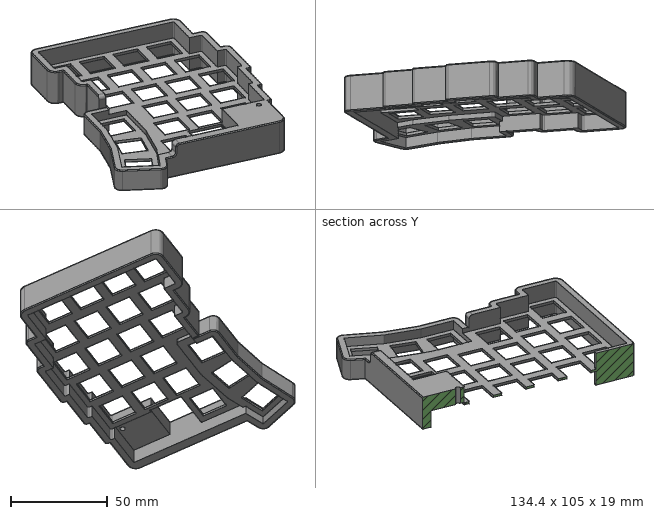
import cadquery as cq
import math

case_height = 19.0
thumb_rim_height = 12.1
plate_top = 9.5
thumb_plate_top = 7.0
plate_thickness = 1.5

wall = 3.9
edge_chamfer = 0.5
step_radius = 2.0
corner_radius = 4.6
inner_radius = 0.7

key_pitch = 19.1
key_cutout = 14.0
clearance = 0.4
room_half = key_pitch / 2 + clearance
first_column_x = wall + room_half

columns = [
    (22.2, 4, corner_radius, corner_radius),
    (29.2, 4, 2.7, 2.7),
    (34.0, 4, 3.0, 1.7),
    (50.4, 3, 1.3, 1.3),
    (48.0, 3, 1.3, 1.3),
]

side_key_x = first_column_x + len(columns) * key_pitch
side_key_y = 43.3

bay_right = 121.0
bay_top = 93.8
bay_bottom = 26.9
bay_wall_extra = 1.3
bay_overlap = 2.2
window_width = 20.7
window_depth = 18.8
window_top = 72.2
reset_hole_diameter = 2.5
reset_hole_x = 103.9
reset_hole_y = 91.2

thumb_keys = [(75.3, 24.0, 0), (96.5, 22.3, 10), (117.7, 16.8, 20)]
thumb_left_margin = 0.3

thumb_front_bends = [(84.1, 14.1), (103.9, 10.9)]
thumb_back_bends = [(88.7, 34.0), (109.5, 30.5)]

side_step_y = 34.4

thumb_left = thumb_keys[0][0] - room_half - thumb_left_margin
main_right = bay_right - bay_wall_extra


def column_x(index):
    return first_column_x + index * key_pitch


def box(x_range, y_range, z_range):
    """Axis-aligned box between the given limits."""
    size = [high - low for low, high in (x_range, y_range, z_range)]
    corner = (x_range[0], y_range[0], z_range[0])
    return cq.Workplane("XY").box(*size, centered=False).translate(corner)


def column_limits(index):
    """X and Y limits of the open room around one key column."""
    low_y, count = columns[index][:2]
    x = column_x(index)
    y_range = (low_y - room_half, low_y + (count - 1) * key_pitch + room_half)
    return (x - room_half, x + room_half), y_range


def chamfer_rims(solid):
    return solid.faces("<Z or >Z").edges().chamfer(edge_chamfer)


def column_shell(index):
    """Solid block one wall larger than a column room, with rounded upright corners."""
    x_range, y_range = column_limits(index)
    left_radius, right_radius = columns[index][2:]
    outer_x = (x_range[0] - wall, x_range[1] + wall)
    if index == len(columns) - 1:
        outer_x = (outer_x[0], outer_x[1] - bay_overlap)
    outer_y = (y_range[0] - wall, y_range[1] + wall)
    block = box(outer_x, outer_y, (0, case_height))
    block = block.edges("|Z and <Y").fillet(corner_radius)
    block = block.edges("|Z and >Y and <X").fillet(left_radius)
    block = block.edges("|Z and >Y and >X").fillet(right_radius)
    return chamfer_rims(block)


def along(key, right, up):
    """Point at a distance right of and above a thumb key centre, in that key's own directions."""
    x, y, turn = key
    angle = math.radians(-turn)
    return (
        x + right * math.cos(angle) - up * math.sin(angle),
        y + right * math.sin(angle) + up * math.cos(angle),
    )


def thumb_outline():
    """Outline of the thumb room: a strip that bends between its three keys."""
    first, last = thumb_keys[0], thumb_keys[-1]
    corners = [
        (thumb_left, first[1] - room_half),
        *thumb_front_bends,
        along(last, room_half, -room_half),
        along(last, room_half, room_half),
        *reversed(thumb_back_bends),
        (thumb_left, first[1] + room_half),
    ]
    return cq.Workplane("XY").polyline(corners).close()


def thumb_block(bottom, top, growth=0.0):
    """Thumb room between two heights, optionally grown outward with rounded corners."""
    outline = thumb_outline()
    if growth:
        outline = outline.offset2D(growth, "arc")
    return outline.extrude(top - bottom).translate((0, 0, bottom))


def bay_shell():
    """Corner bay shell whose side wall drops in a rounded step to the thumb rim."""
    right = bay_right + wall
    back = bay_top + wall
    left = column_limits(len(columns) - 1)[0][1] - wall
    profile = (
        cq.Workplane("YZ")
        .moveTo(bay_bottom, 0)
        .lineTo(back, 0)
        .lineTo(back, case_height)
        .lineTo(side_step_y + step_radius, case_height)
        .radiusArc((side_step_y, case_height - step_radius), -step_radius)
        .lineTo(side_step_y, thumb_rim_height + step_radius)
        .radiusArc((side_step_y - step_radius, thumb_rim_height), step_radius)
        .lineTo(bay_bottom, thumb_rim_height)
        .close()
    )
    shell = profile.extrude(right - left).translate((left, 0, 0))
    shell = shell.edges("|Z and >X and >Y").fillet(corner_radius)
    return shell.faces("<Z or >Z").edges(">Y").chamfer(edge_chamfer)


def outer_shell():
    """Solid outer form: column rooms, corner bay and the lower thumb block."""
    shell = bay_shell()
    for index in range(len(columns)):
        shell = shell.union(column_shell(index))

    wall_end = thumb_left - wall
    third_x, third_y = column_limits(2)
    wall_depth = (third_y[0] - wall, third_y[0])
    step = box((wall_end, third_x[1] + wall), wall_depth, (0, case_height))
    edge_block = box(
        (wall_end - step_radius, wall_end), wall_depth, (case_height - step_radius, case_height)
    )
    edge_round = (
        cq.Workplane("XZ", origin=(0, wall_depth[1], 0))
        .center(wall_end - step_radius, case_height - step_radius)
        .circle(step_radius)
        .extrude(wall)
    )
    shell = shell.cut(step).cut(edge_block.cut(edge_round))
    return shell.union(chamfer_rims(thumb_block(0, thumb_rim_height, wall)))


def main_room(bottom, top):
    """Open room of the main keys between two heights, without the controller bay."""
    room = box(
        (column_x(2), main_right),
        (column_limits(2)[1][0], window_top),
        (bottom, top),
    )
    for index in range(len(columns)):
        room = room.union(
            box(*column_limits(index), (bottom, top)).edges("|Z").fillet(inner_radius)
        )
    return room


def hollow_out(body):
    """Remove the rooms above and below the key plates."""
    plate_bottom = plate_top - plate_thickness
    thumb_plate_bottom = thumb_plate_top - plate_thickness
    column_right = column_limits(len(columns) - 1)[0][1]
    bay_room = box((column_right - wall, main_right), (window_top - wall, bay_top), (0, plate_top))
    underside = main_room(0, plate_bottom).union(bay_room.cut(main_room(0, plate_top)))
    riser = thumb_block(thumb_plate_bottom, plate_top, plate_thickness)
    underside = underside.cut(riser).union(thumb_block(0, thumb_plate_bottom))
    return (
        body.cut(underside)
        .cut(main_room(plate_top, case_height))
        .cut(thumb_block(thumb_plate_top, case_height))
    )


def key_opening(x, y, turn=0):
    opening = cq.Workplane("XY").rect(key_cutout, key_cutout).extrude(case_height)
    return opening.rotate((0, 0, 0), (0, 0, 1), -turn).translate((x, y, 0))


def cut_openings(body):
    """Cut the switch openings, the controller window and the reset hole."""
    for index, (low_y, count, _, _) in enumerate(columns):
        for row in range(count):
            body = body.cut(key_opening(column_x(index), low_y + row * key_pitch))
    body = body.cut(key_opening(side_key_x, side_key_y))
    for key in thumb_keys:
        body = body.cut(key_opening(*key))
    window = box(
        (main_right - window_width, main_right),
        (window_top - window_depth, window_top),
        (0, plate_top),
    )
    reset_hole = (
        cq.Workplane("XY")
        .center(reset_hole_x, reset_hole_y)
        .circle(reset_hole_diameter / 2)
        .extrude(case_height)
    )
    return body.cut(window).cut(reset_hole)


result = cut_openings(hollow_out(outer_shell()))